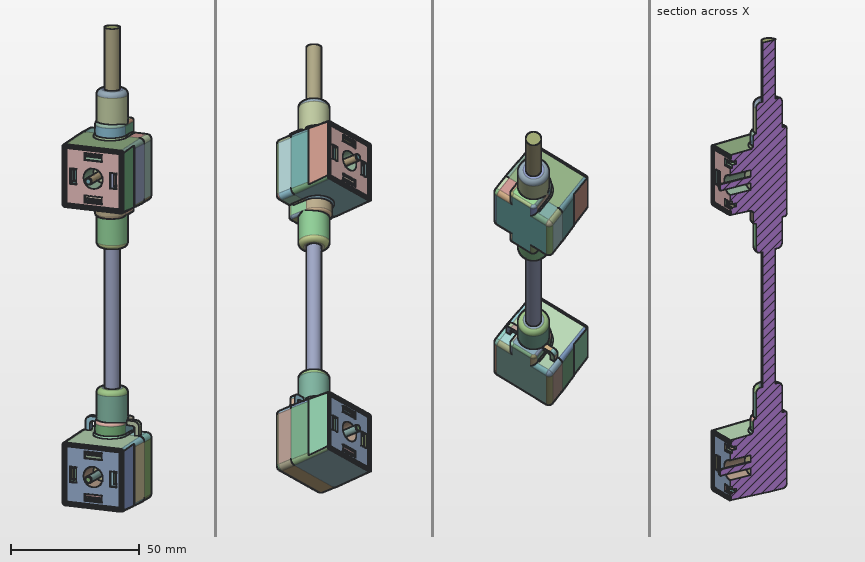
import cadquery as cq
import math

total_height = 190.0
plug_pitch = 120.0
cable_diameter = 6.0
sleeve_diameter = 12.4
sleeve_reach = 31.7
sleeve_round = 2.0

housing_width = 27.4
housing_height = 26.6
rear_y = 8.4
seam_y = -8.5
front_y = -18.2
housing_round = 1.9
rear_round = 2.0
rear_edge_round = 1.9
draft_inset = 0.5
seam_step = 0.4

boss_height = 19.0
boss_corner_round = 1.9
boss_arc_y = -1.3
boss_top_round = 1.1
boss_root_depth = 3.8
boss_flare = 1.1
boss_flare_height = 1.1
boss_flare_rear_y = rear_y - rear_round

seal_groove_sizes = (23.0, 24.9)
seal_groove_width = 0.4
seal_groove_depth = 0.5
screw_hole_diameter = 8.2
screw_hole_depth = 9.5
screw_diameter = 2.8
screw_chamfer = 0.28
screw_tip_y = -22.8
socket_offset = 8.5
socket_width = 2.8
long_socket_length = 7.6
short_socket_length = 6.3
socket_depth = 1.0
contact_slot_width = 1.1
contact_slot_margin = 0.8
contact_slot_shift = 0.4
contact_slot_depth = 2.8

loop_half_span = 11.4
loop_bar = 1.9
loop_depth = 2.3
loop_outer_round = 2.0
loop_inner_round = 1.1

half_height = housing_height / 2
lower_plug_z = half_height
upper_plug_z = lower_plug_z + plug_pitch


def housing_block(start_y, end_y, corner_round, inset=0.0):
    """Round-cornered block running toward -Y and narrowing by inset on each side."""
    length = start_y - end_y
    outline = (
        cq.Workplane("XZ", origin=(0, start_y, 0))
        .sketch()
        .rect(housing_width, housing_height)
        .vertices()
        .fillet(corner_round)
        .finalize()
    )
    return outline.extrude(length, taper=math.degrees(math.atan2(inset, length)))


def housing():
    rear = housing_block(rear_y, 0, rear_round)
    rear = rear.faces(">Y").edges().fillet(rear_edge_round)
    front = housing_block(0, front_y, housing_round, draft_inset)

    seam_inset = draft_inset * seam_y / front_y + seam_step
    skirt_length = seam_y - front_y
    skirt_envelope = cq.Workplane("XY").box(
        housing_width - 2 * seam_inset, skirt_length, housing_height
    ).translate((0, seam_y - skirt_length / 2, 0))
    shoulder = cq.Workplane("XY").box(
        housing_width, -seam_y, housing_height
    ).translate((0, seam_y / 2, 0))
    return rear.union(front.intersect(shoulder.union(skirt_envelope)))


def boss_outline(z, half_width, back_y):
    """D-shaped outline: straight sides and a half-round front."""
    return (
        cq.Workplane("XY", origin=(0, 0, z))
        .moveTo(half_width, back_y)
        .lineTo(half_width, boss_arc_y)
        .threePointArc((0, boss_arc_y - half_width), (-half_width, boss_arc_y))
        .lineTo(-half_width, back_y)
        .close()
    )


def cable_entry():
    """Boss and sleeve rising from the top of a housing centred on the origin."""
    half_width = sleeve_diameter / 2
    root_z = half_height - boss_root_depth
    boss = boss_outline(root_z, half_width, rear_y).extrude(boss_height - root_z)
    boss = boss.edges("|Z and >Y").fillet(boss_corner_round)
    boss = boss.faces(">Z").edges().fillet(boss_top_round)

    flare_angle = math.degrees(math.atan2(boss_flare, boss_flare_height))
    flare_z = half_height - draft_inset
    flare = boss_outline(flare_z, half_width + boss_flare, boss_flare_rear_y)
    flare = flare.extrude(boss_flare_height, taper=flare_angle)

    sleeve = (
        cq.Workplane("XY", origin=(0, 0, root_z))
        .circle(sleeve_diameter / 2)
        .extrude(sleeve_reach - root_z)
        .faces(">Z")
        .edges()
        .fillet(sleeve_round)
    )
    return boss.union(flare).union(sleeve)


def face_box(size_x, size_z, depth, x, z):
    """Cutting box sunk into the contact face."""
    return cq.Workplane("XY").box(size_x, depth, size_z).translate((x, front_y + depth / 2, z))


def socket_cut(length, angle):
    """Contact socket with a deeper slot, turned about the screw axis."""
    slot_length = length - 2 * contact_slot_margin
    socket = face_box(length, socket_width, socket_depth, 0, socket_offset)
    slot_z = socket_offset + contact_slot_shift
    slot = face_box(slot_length, contact_slot_width, contact_slot_depth, 0, slot_z)
    return socket.union(slot).rotate((0, 0, 0), (0, 1, 0), angle)


def contact_face(body):
    """Seal grooves, contact sockets and the central screw."""
    for outer_size in seal_groove_sizes:
        inner_size = outer_size - 2 * seal_groove_width
        land = face_box(inner_size, inner_size, seal_groove_depth, 0, 0)
        body = body.cut(face_box(outer_size, outer_size, seal_groove_depth, 0, 0).cut(land))
    for angle in (0, 90, 180, 270):
        length = short_socket_length if angle % 180 else long_socket_length
        body = body.cut(socket_cut(length, angle))

    face = cq.Workplane("XZ", origin=(0, front_y, 0))
    body = body.cut(face.circle(screw_hole_diameter / 2).extrude(-screw_hole_depth))
    screw_root_y = front_y + screw_hole_depth
    screw = (
        cq.Workplane("XZ", origin=(0, screw_root_y, 0))
        .circle(screw_diameter / 2)
        .extrude(screw_root_y - screw_tip_y)
        .faces("<Y")
        .edges()
        .chamfer(screw_chamfer)
    )
    return body.union(screw)


def retaining_loops():
    """Bar bent down on both sides of the boss."""
    root_z = half_height - loop_bar
    height = boss_height - root_z
    inner_span = loop_half_span - loop_bar

    def arch(half_span, arch_height, corner_round):
        return (
            cq.Workplane("XY")
            .box(2 * half_span, loop_depth, arch_height, centered=(True, False, False))
            .edges("|Y and >Z")
            .fillet(corner_round)
            .translate((0, 0, root_z))
        )

    outer = arch(loop_half_span, height, loop_outer_round)
    return outer.cut(arch(inner_span, height - loop_bar, loop_inner_round))


entry = cable_entry()
plain_plug = contact_face(housing()).union(entry)

lower_plug = plain_plug.union(retaining_loops())

upper_plug = plain_plug.union(entry.mirror("XY"))

cable = (
    cq.Workplane("XY", origin=(0, 0, lower_plug_z + boss_height))
    .circle(cable_diameter / 2)
    .extrude(total_height - lower_plug_z - boss_height)
)

result = (
    lower_plug.translate((0, 0, lower_plug_z))
    .union(upper_plug.translate((0, 0, upper_plug_z)))
    .union(cable)
)